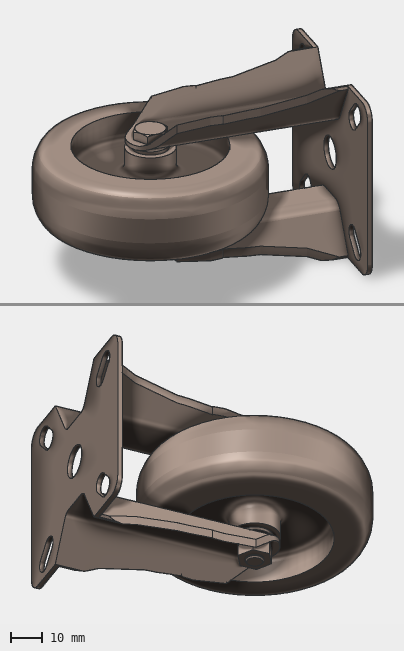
import cadquery as cq
import math


sheet = 1.5
plate_thickness = 1.6
plate_width = 67.0
plate_height = 60.0
plate_corner = 5.0
plate_back = 62.5
leg_gap = 28.0
floor_half_width = 4.6
bend_inner = 3.5
flange_angle = math.radians(60)
flange_reach = 16.2
flange_bevel = 0.5
leg_tip_radius = 8.0

leg_half_outline = [
    (flange_reach, 0.0),
    (flange_reach, 4.6),
    (14.0, 14.7),
    (12.5, 29.9),
    (12.4, 34.3),
    (12.0, 42.5),
    (12.1, 42.8),
    (12.2, 46.7),
    (11.5, 57.8),
]

slot_offset = 22.0
slot_width = 6.6
slot_centre_travel = 5.3
centre_hole_diameter = 11.0

axle_diameter = 6.0
hex_flats = 10.0
head_height = 3.1
head_chamfer_diameter = 9.9
head_chamfer_angle = math.radians(30)
nut_height = 5.0
thread_overhang = 0.9
thread_chamfer = 0.5

wheel_radius = 37.5
wheel_width = 25.0
tread_flat_half = 4.2
shoulder_radius = 35.4
shoulder_z = 10.6
side_face_radius = 31.3
rim_inner_radius = 25.2
rim_fillet = 3.0
web_half = 2.5
hub_radius = 8.2
hub_fillet = 3.8
hub_shoulder_z = 12.0
hub_boss_radius = 6.0
hub_boss_proud = 0.6

leg_inner = leg_gap / 2
leg_outer = leg_inner + sheet
rim_top = plate_height / 2


def channel_bend(bend_radius):
    """Start, middle and end of the bend of one channel surface at +X."""
    centre_z = leg_inner + sheet + bend_inner
    return [
        (
            floor_half_width + bend_radius * math.sin(angle),
            centre_z - bend_radius * math.cos(angle),
        )
        for angle in (0, flange_angle / 2, flange_angle)
    ]


def on_flange(bend_end, x):
    """Point at a given X on the sloping surface that follows a bend."""
    return (x, bend_end[1] + (x - bend_end[0]) * math.tan(flange_angle))


def mirrored(point):
    return (-point[0], point[1])


def channel_area(bend, flange_end):
    """Region above one channel surface, extruded along the whole leg."""
    start, middle, end = bend
    return (
        cq.Workplane("XZ", origin=(0, plate_back, 0))
        .polyline([mirrored(point) for point in reversed(flange_end)] + [mirrored(end)])
        .threePointArc(mirrored(middle), mirrored(start))
        .lineTo(*start)
        .threePointArc(middle, end)
        .polyline(flange_end, includeCurrent=True)
        .close()
        .extrude(plate_back + leg_tip_radius)
    )


def make_channel_space():
    """Open space inside one channel, which also notches the plate."""
    bend = channel_bend(bend_inner)
    bend_end = bend[-1]
    rim_x = bend_end[0] + (rim_top - bend_end[1]) / math.tan(flange_angle)
    return channel_area(bend, [(rim_x, rim_top)])


def make_leg(channel_space):
    bend = channel_bend(bend_inner + sheet)
    flange_end = [on_flange(bend[-1], flange_reach), (flange_reach - flange_bevel, rim_top)]
    return channel_area(bend, flange_end).cut(channel_space).intersect(leg_outline())


def leg_outline():
    """Plan outline of a leg, extruded through the full height of one leg."""
    right = [(x, plate_back - distance) for x, distance in leg_half_outline]
    shoulder_x, shoulder_y = right[-1]
    reach = math.hypot(shoulder_x, shoulder_y)
    tangent_angle = math.atan2(shoulder_y, shoulder_x) - math.acos(leg_tip_radius / reach)
    tangent = (leg_tip_radius * math.cos(tangent_angle), leg_tip_radius * math.sin(tangent_angle))
    left = [mirrored(point) for point in reversed(right)]
    return (
        cq.Workplane("XY")
        .polyline(right + [tangent])
        .threePointArc((0, -leg_tip_radius), mirrored(tangent))
        .polyline(left, includeCurrent=True)
        .close()
        .extrude(rim_top)
    )


def both_sides(shape):
    return shape.union(shape.mirror("XY"))


def make_plate(channel_space):
    plate = (
        cq.Workplane("XZ", origin=(0, plate_back, 0))
        .rect(plate_width, plate_height)
        .extrude(plate_thickness)
        .edges("|Y")
        .fillet(plate_corner)
    )
    openings = (
        cq.Workplane("XZ", origin=(0, plate_back, 0))
        .circle(centre_hole_diameter / 2)
        .extrude(plate_thickness)
    )
    for side_x in (-1, 1):
        for side_z in (-1, 1):
            slot = (
                cq.Workplane("XZ", origin=(0, plate_back, 0))
                .center(side_x * slot_offset, side_z * slot_offset)
                .slot2D(slot_centre_travel + slot_width, slot_width, 45 * side_x * side_z)
                .extrude(plate_thickness)
            )
            openings = openings.union(slot)
    return plate.cut(openings).cut(both_sides(channel_space))


def hexagon(base_z, height):
    """Hexagonal prism on the axle with flats facing -X and +X."""
    corner_circle = hex_flats / math.cos(math.radians(30))
    return (
        cq.Workplane("XY", origin=(0, 0, base_z))
        .polygon(6, corner_circle)
        .extrude(height)
        .rotate((0, 0, 0), (0, 0, 1), 30)
    )


def make_bolt_head():
    """Hexagon whose top corners are cut back by a shallow cone."""
    flat_radius = head_chamfer_diameter / 2
    head_top = leg_outer + head_height
    cone_radius = flat_radius + head_height / math.tan(head_chamfer_angle)
    head_cone = (
        cq.Workplane("XZ")
        .polyline([(0, head_top), (flat_radius, head_top), (cone_radius, leg_outer), (0, leg_outer)])
        .close()
        .revolve(360, (0, 0), (0, 1))
    )
    return hexagon(leg_outer, head_height).intersect(head_cone)


def make_axle():
    nut = hexagon(-leg_outer, -nut_height)
    shank_end = -leg_outer - nut_height - thread_overhang
    shank = (
        cq.Workplane("XY", origin=(0, 0, shank_end))
        .circle(axle_diameter / 2)
        .extrude(leg_outer - shank_end)
        .faces("<Z")
        .chamfer(thread_chamfer)
    )
    return shank.union(make_bolt_head()).union(nut)


def make_fork():
    """Plate, both channel legs and the fixed axle bolt with its nut."""
    channel_space = make_channel_space()
    leg = make_leg(channel_space)
    return make_plate(channel_space).union(both_sides(leg)).union(make_axle())


def make_wheel():
    half_width = wheel_width / 2
    fillet_low = 1 - math.sqrt(0.5)
    bore = axle_diameter / 2
    rim_mid = (rim_inner_radius - rim_fillet * fillet_low, web_half + rim_fillet * fillet_low)
    hub_mid = (hub_radius + hub_fillet * fillet_low, web_half + hub_fillet * fillet_low)
    boss_top = half_width + hub_boss_proud
    one_sided = (
        cq.Workplane("XZ")
        .moveTo(bore, -boss_top)
        .lineTo(wheel_radius, -boss_top)
        .lineTo(wheel_radius, tread_flat_half)
        .tangentArcPoint((shoulder_radius, shoulder_z), relative=False)
        .tangentArcPoint((side_face_radius, half_width), relative=False)
        .lineTo(rim_inner_radius, half_width)
        .lineTo(rim_inner_radius, web_half + rim_fillet)
        .threePointArc(rim_mid, (rim_inner_radius - rim_fillet, web_half))
        .lineTo(hub_radius + hub_fillet, web_half)
        .threePointArc(hub_mid, (hub_radius, web_half + hub_fillet))
        .lineTo(hub_radius, hub_shoulder_z)
        .lineTo(hub_boss_radius, hub_shoulder_z)
        .lineTo(hub_boss_radius, boss_top)
        .lineTo(bore, boss_top)
        .close()
        .revolve(360, (0, 0), (0, 1))
    )
    return one_sided.intersect(one_sided.mirror("XY"))


fork = make_fork()
wheel = make_wheel()

result = cq.Compound.makeCompound([fork.val(), wheel.val()])